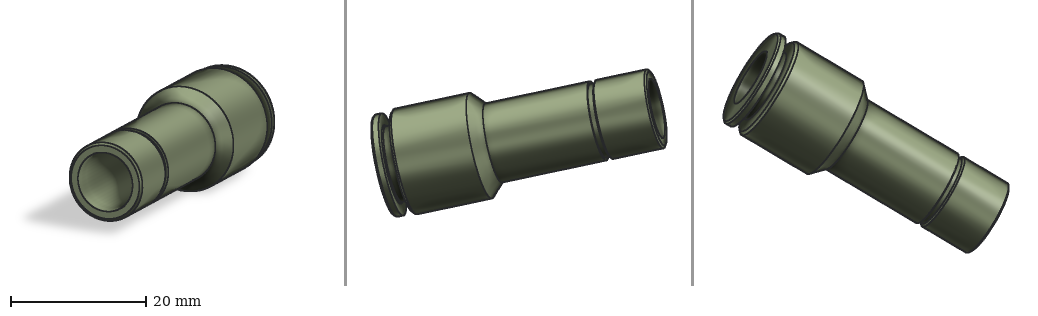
import cadquery as cq

length = 41.8
body_diameter = 16.0
stem_diameter = 12.0
bore_diameter = 9.0

flange_diameter = 15.5
flange_thickness = 1.2
flange_chamfer = 0.3
neck_diameter = 11.5
neck_root_chamfer = 0.2

body_face_start = 2.6
body_face_rise = 0.25
body_end = 14.75
body_chamfer = 0.4

groove_start = 32.77
groove_end = 33.55
groove_diameter = 11.2
stem_chamfer_length = 0.25

body_radius = body_diameter / 2
stem_radius = stem_diameter / 2
flange_radius = flange_diameter / 2
neck_radius = neck_diameter / 2
groove_radius = groove_diameter / 2
neck_root_radius = neck_radius + neck_root_chamfer
neck_start = flange_thickness + neck_root_chamfer
body_face_end = body_face_start + body_face_rise
shoulder_end = body_end + body_radius - stem_radius

outer_profile = [
    (0, 0),
    (flange_radius - flange_chamfer, 0),
    (flange_radius, flange_chamfer),
    (flange_radius, flange_thickness),
    (neck_root_radius, flange_thickness),
    (neck_radius, neck_start),
    (neck_radius, body_face_start),
    (body_radius - body_chamfer, body_face_end),
    (body_radius, body_face_end + body_chamfer),
    (body_radius, body_end),
    (stem_radius, shoulder_end),
    (stem_radius, groove_start),
    (groove_radius, groove_start),
    (groove_radius, groove_end),
    (stem_radius, groove_end + stem_chamfer_length),
    (stem_radius, length - stem_chamfer_length),
    (groove_radius, length),
    (0, length),
]


def revolve_outside():
    """Solid of revolution about Y, centred on the origin along Y."""
    points = [(length / 2 - distance, radius) for radius, distance in outer_profile]
    return cq.Workplane("YZ").polyline(points).close().revolve(360, (0, 0), (1, 0))


def through_bore():
    """Cylinder along the full length of the axis."""
    return cq.Workplane("XZ").circle(bore_diameter / 2).extrude(length / 2, both=True)


result = revolve_outside().cut(through_bore())